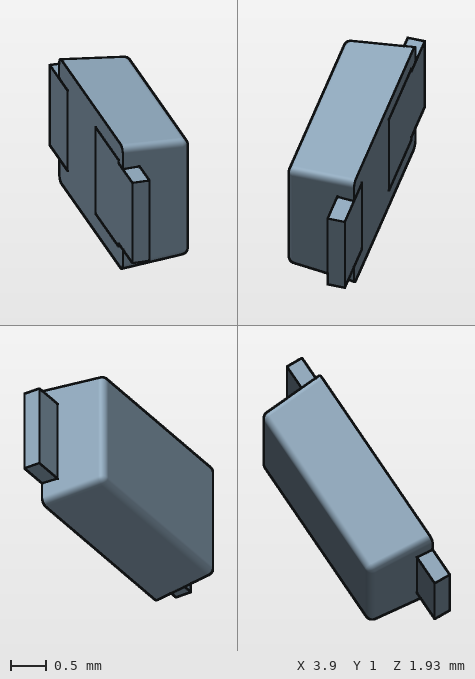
import cadquery as cq

span = 3.9
housing_length = 3.0
housing_width = 1.93
housing_height = 1.0
draft_angle = 4.0
edge_radius = 0.1

terminal_thickness = 0.25
terminal_width = 1.25
small_terminal_length = 0.85
large_terminal_length = 1.747
pad_length = 1.095
pad_width = 1.35


def plate(x_start, length, width):
    """Flat plate centred on z = 0, with its front face at y = 0."""
    return (
        cq.Workplane("XY")
        .box(length, terminal_thickness, width, centered=(False, False, True))
        .translate((x_start, 0, 0))
    )


def make_small_terminal():
    return plate(-span / 2, small_terminal_length, terminal_width)


def make_large_terminal():
    x_start = span / 2 - large_terminal_length
    tongue = plate(x_start, large_terminal_length, terminal_width)
    pad = plate(x_start, pad_length, pad_width)
    return tongue.union(pad)


def make_housing(terminals):
    """Drafted, rounded block with a matching recess for each terminal."""
    block = (
        cq.Workplane("XZ")
        .rect(housing_length, housing_width)
        .extrude(-housing_height, taper=draft_angle)
    )
    block = block.edges("not <Y").fillet(edge_radius)
    for terminal in terminals:
        block = block.cut(terminal)
    return block


small_terminal = make_small_terminal()
large_terminal = make_large_terminal()
housing = make_housing([small_terminal, large_terminal])

result = cq.Compound.makeCompound([housing.val(), small_terminal.val(), large_terminal.val()])